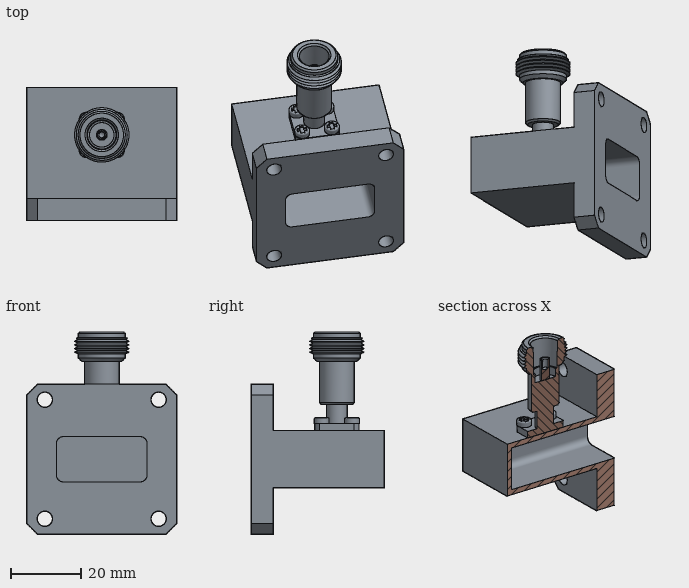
import cadquery as cq
import math


flange_side = 42.85
flange_thickness = 6.35
flange_corner_chamfer = 3.05
flange_hole_diameter = 4.3
flange_hole_pitch_x = 32.5
flange_hole_pitch_z = 34.0
total_length = 38.1
block_height = 16.4
window_width = 25.9
window_height = 12.95
window_corner_radius = 2.0
end_wall = (block_height - window_height) / 2
block_top = block_height / 2

rear_to_connector = 13.6
connector_y = total_length - rear_to_connector
total_height = 57.85
connector_top = total_height - flange_side / 2

plate_side = 12.7
plate_thickness = 2.0
plate_corner_diameter = 16.1
plate_top = block_top + plate_thickness

head_radius = 13.5 / 2
rim_chamfer = 0.5
thread_start_depth = 1.6
thread_pitch = 1.05
thread_count = 4
thread_crest_radius = 15.55 / 2
thread_root_radius = 13.8 / 2
first_ridge_radius = 14.6 / 2
first_ridge_depth = 1.8
first_crest_depth = 2.7
head_bottom_depth = 8.5
head_bottom_chamfer = 1.05
barrel_radius = 10.0 / 2
barrel_bottom_depth = 20.8
barrel_chamfer = 0.6
neck_radius = 6.0 / 2

bore_mouth_diameter = 8.5
bore_end_diameter = 8.1
bore_chamfer = 0.5
bore_depth = 9.0
inner_bore_diameter = 7.0
inner_bore_depth = 11.55

contact_diameter = 3.05
contact_tip_depth = 5.2
socket_diameter = 1.7
socket_depth = 2.9
socket_chamfer = 0.35
socket_point_angle = 135.0

screw_pitch = 8.7
screw_head_diameter = 4.3
screw_head_height = 1.6
screw_edge_fillet = 0.4
recess_span = 2.7
recess_slot_width = 1.1
recess_depth = 0.5


def make_housing():
    """Closed-end waveguide block with its square mating flange."""
    flange = (
        cq.Workplane("XY")
        .box(flange_side, flange_thickness, flange_side, centered=(True, False, True))
        .edges("|Y")
        .chamfer(flange_corner_chamfer)
    )
    block = cq.Workplane("XY").box(flange_side, total_length, block_height, centered=(True, False, True))
    body = flange.union(block)

    window = (
        cq.Workplane("XY")
        .box(window_width, total_length - end_wall, window_height, centered=(True, False, True))
        .edges("|Y")
        .fillet(window_corner_radius)
    )
    flange_holes = (
        cq.Workplane("XZ")
        .rarray(flange_hole_pitch_x, flange_hole_pitch_z, 2, 2)
        .circle(flange_hole_diameter / 2)
        .extrude(-flange_thickness)
    )
    return body.cut(window).cut(flange_holes)


def barrel_outline():
    """Outer half-profile of the connector barrel as (radius, depth) points, from the top down."""
    points = [
        (0, 0),
        (head_radius - rim_chamfer, 0),
        (head_radius, rim_chamfer),
        (head_radius, thread_start_depth),
        (first_ridge_radius, first_ridge_depth),
    ]
    for turn in range(thread_count):
        crest_depth = first_crest_depth + turn * thread_pitch
        points.append((thread_root_radius, crest_depth - thread_pitch / 2))
        points.append((thread_crest_radius, crest_depth))
    thread_end_depth = first_crest_depth + (thread_count - 1) * thread_pitch + thread_pitch / 2
    points += [
        (head_radius, thread_end_depth),
        (head_radius, head_bottom_depth - head_bottom_chamfer),
        (head_radius - head_bottom_chamfer, head_bottom_depth),
        (barrel_radius, head_bottom_depth),
        (barrel_radius, barrel_bottom_depth - barrel_chamfer),
        (barrel_radius - barrel_chamfer, barrel_bottom_depth),
        (neck_radius, barrel_bottom_depth),
        (neck_radius, connector_top - plate_top),
        (0, connector_top - plate_top),
    ]
    return points


def revolve_about_connector_axis(points):
    """Solid of revolution from (radius, depth below the connector top) points."""
    profile = [(radius, connector_top - depth) for radius, depth in points]
    solid = cq.Workplane("XZ").polyline(profile).close().revolve(360, (0, 0, 0), (0, 1, 0))
    return solid.translate((0, connector_y, 0))


def make_connector():
    """Threaded coaxial connector shell with its square mounting plate."""
    plate = (
        cq.Workplane("XY", origin=(0, connector_y, block_top))
        .rect(plate_side, plate_side)
        .extrude(plate_thickness)
    )
    corner_turning = (
        cq.Workplane("XY", origin=(0, connector_y, block_top))
        .circle(plate_corner_diameter / 2)
        .extrude(plate_thickness)
    )
    plate = plate.intersect(corner_turning)
    bore = revolve_about_connector_axis([
        (0, 0),
        (bore_mouth_diameter / 2 + bore_chamfer, 0),
        (bore_mouth_diameter / 2, bore_chamfer),
        (bore_end_diameter / 2, bore_depth),
        (inner_bore_diameter / 2, bore_depth),
        (inner_bore_diameter / 2, inner_bore_depth),
        (0, inner_bore_depth),
    ])
    return revolve_about_connector_axis(barrel_outline()).union(plate).cut(bore)


def make_contact():
    """Centre contact standing on the bore floor, with a drilled socket in its tip."""
    socket_radius = socket_diameter / 2
    point_depth = socket_radius / math.tan(math.radians(socket_point_angle / 2))
    socket_bottom = contact_tip_depth + socket_depth
    return revolve_about_connector_axis([
        (socket_radius + socket_chamfer, contact_tip_depth),
        (contact_diameter / 2, contact_tip_depth),
        (contact_diameter / 2, inner_bore_depth),
        (0, inner_bore_depth),
        (0, socket_bottom + point_depth),
        (socket_radius, socket_bottom),
        (socket_radius, contact_tip_depth + socket_chamfer),
    ])


def make_screw(x, y):
    """Round-edged screw head with a cross recess, seated on the mounting plate."""
    head = (
        cq.Workplane("XY")
        .circle(screw_head_diameter / 2)
        .extrude(screw_head_height)
        .faces(">Z")
        .edges()
        .fillet(screw_edge_fillet)
    )
    recess_floor = cq.Workplane("XY").workplane(offset=screw_head_height - recess_depth)
    slot_x = recess_floor.rect(recess_span, recess_slot_width).extrude(recess_depth)
    slot_y = recess_floor.rect(recess_slot_width, recess_span).extrude(recess_depth)
    return head.cut(slot_x).cut(slot_y).translate((x, y, plate_top))


housing = make_housing()
connector = make_connector()
contact = make_contact()
screws = [
    make_screw(side_x * screw_pitch / 2, connector_y + side_y * screw_pitch / 2)
    for side_x in (-1, 1)
    for side_y in (-1, 1)
]

result = cq.Compound.makeCompound([
    housing.val(),
    connector.val(),
    contact.val(),
    *[screw.val() for screw in screws],
])